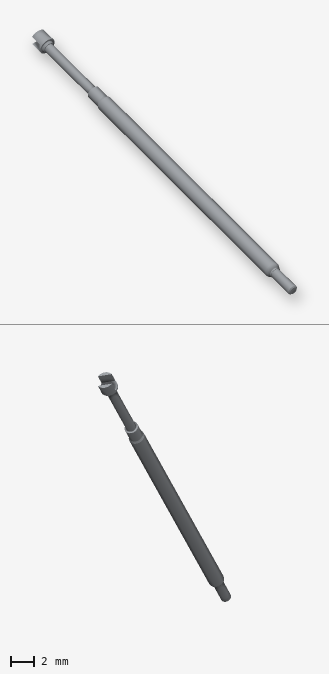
import cadquery as cq
import math

length = 35.81
head_end = 1.33
collar_end = 1.56
stem_end = 7.77
sleeve_end = 9.12
barrel_start = 9.34
barrel_end = 33.15
rear_step_end = 33.3

head_diameter = 1.58
collar_diameter = 1.2
collar_end_diameter = 1.05
stem_diameter = 0.88
sleeve_diameter = 1.2
barrel_diameter = 1.4
rear_step_diameter = 1.0
tail_diameter = 0.92

barrel_rear_radius = 0.4
tail_chamfer = 0.1

slot_width = 0.97
slot_floor_width = 0.35
slot_corner_start = 1.06
slot_depth = 1.2


def make_turned_body():
    """Revolve the half profile of the pin about the X axis."""
    barrel_radius = barrel_diameter / 2
    tail_radius = tail_diameter / 2
    rounding_drop = barrel_radius - rear_step_diameter / 2
    rounding_length = math.sqrt(barrel_rear_radius**2 - (barrel_rear_radius - rounding_drop) ** 2)
    profile = (
        cq.Workplane("XY")
        .lineTo(0, head_diameter / 2)
        .lineTo(head_end, head_diameter / 2)
        .lineTo(head_end, collar_diameter / 2)
        .lineTo(collar_end, collar_end_diameter / 2)
        .lineTo(collar_end, stem_diameter / 2)
        .lineTo(stem_end, stem_diameter / 2)
        .lineTo(stem_end, sleeve_diameter / 2)
        .lineTo(sleeve_end, sleeve_diameter / 2)
        .lineTo(barrel_start, barrel_radius)
        .lineTo(barrel_end - rounding_length, barrel_radius)
        .radiusArc((barrel_end, rear_step_diameter / 2), barrel_rear_radius)
        .lineTo(rear_step_end, rear_step_diameter / 2)
        .lineTo(rear_step_end, tail_radius)
        .lineTo(length - tail_chamfer, tail_radius)
        .lineTo(length, tail_radius - tail_chamfer)
        .lineTo(length, 0)
        .close()
    )
    return profile.revolve(360, (0, 0, 0), (1, 0, 0))


def make_fork_slot():
    """Slot with sloped corners leading to a narrower flat floor."""
    half_width = slot_width / 2
    half_floor = slot_floor_width / 2
    return (
        cq.Workplane("XZ")
        .moveTo(0, half_width)
        .lineTo(slot_corner_start, half_width)
        .lineTo(slot_depth, half_floor)
        .lineTo(slot_depth, -half_floor)
        .lineTo(slot_corner_start, -half_width)
        .lineTo(0, -half_width)
        .close()
        .extrude(head_diameter / 2, both=True)
    )


result = make_turned_body().cut(make_fork_slot())